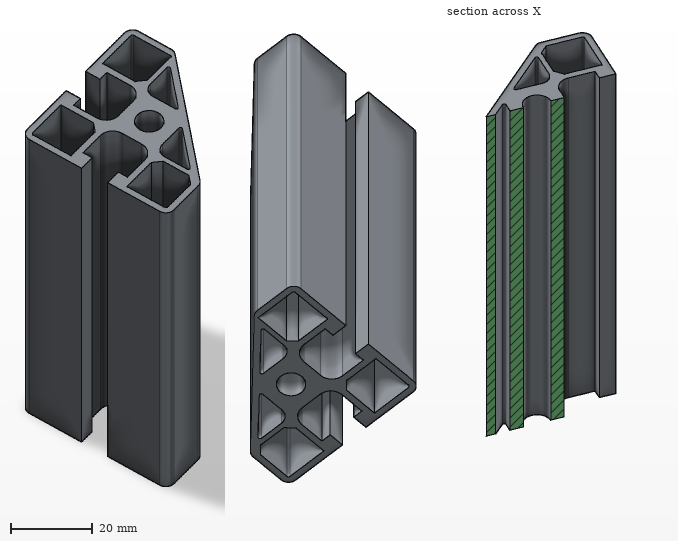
import cadquery as cq

side = 45.0
length = 100.0
corner_radius = 2.5
diagonal_end = 13.5
centre = side / 2

bore_diameter = 7.2

slot_opening = 8.0
slot_width = 13.6
slot_depth = 15.3
lip_thickness = 4.4
slot_corner_radius = 3.8

wall = 1.8
cavity_size = 12.1
cavity_chamfer = 2.1
cavity_corner_radius = 0.5

core_half_width = 7.2
diagonal_wall = 1.8
triangle_corner_radius = 3.0
triangle_tip_radius = 0.5


def prism(points):
    """Extrude a closed outline over the full length of the profile."""
    return cq.Workplane("XY").polyline(points).close().extrude(length)


def outer_body():
    points = [(0, 0), (side, 0), (side, diagonal_end), (diagonal_end, side), (0, side)]
    return prism(points).edges("|Z").fillet(corner_radius)


def box_between(x_min, x_max, y_min, y_max):
    return prism([(x_min, y_min), (x_max, y_min), (x_max, y_max), (x_min, y_max)])


def bottom_slot():
    """T-slot open to the -Y side, with its two inner corners rounded."""
    half_width = slot_width / 2
    half_opening = slot_opening / 2
    chamber = box_between(centre - half_width, centre + half_width, lip_thickness, slot_depth)
    chamber = chamber.faces(">Y").edges("|Z").fillet(slot_corner_radius)
    mouth = box_between(centre - half_opening, centre + half_opening, 0, lip_thickness)
    return chamber.union(mouth)


def left_slot():
    """The same T-slot turned a quarter turn about Z, open to the -X side."""
    return bottom_slot().rotate((0, 0, 0), (0, 0, 1), -90).translate((0, side, 0))


def edge_near(x, y):
    """Selector for the lengthwise edge nearest to a place in the cross-section."""
    return cq.selectors.NearestToPointSelector((x, y, length / 2))


def corner_cavity(x_min, y_min, chamfered, rounded):
    """Square cavity; corners are given as (0 or 1, 0 or 1) steps along X and Y."""

    def corner_edge(corner):
        return edge_near(x_min + corner[0] * cavity_size, y_min + corner[1] * cavity_size)

    cavity = box_between(x_min, x_min + cavity_size, y_min, y_min + cavity_size)
    for corner in chamfered:
        cavity = cavity.edges("|Z").edges(corner_edge(corner)).chamfer(cavity_chamfer)
    return cavity.edges("|Z").edges(corner_edge(rounded)).fillet(cavity_corner_radius)


def triangle_cavity(x_min, y_min):
    """Triangular cavity whose long side runs parallel to the diagonal face."""
    outer_sum = side + diagonal_end
    leg = outer_sum - diagonal_wall * 2**0.5 - x_min - y_min
    cavity = prism([(x_min, y_min), (x_min + leg, y_min), (x_min, y_min + leg)])
    cavity = cavity.edges("|Z").edges(edge_near(x_min, y_min)).fillet(triangle_corner_radius)
    for tip in [(x_min + leg, y_min), (x_min, y_min + leg)]:
        cavity = cavity.edges("|Z").edges(edge_near(*tip)).fillet(triangle_tip_radius)
    return cavity


result = outer_body().cut(bottom_slot()).cut(left_slot())

bore = cq.Workplane("XY").center(centre, centre).circle(bore_diameter / 2).extrude(length)
result = result.cut(bore)

far_start = side - wall - cavity_size
lower_left = (0, 0)
lower_right = (1, 0)
upper_left = (0, 1)
upper_right = (1, 1)
result = result.cut(corner_cavity(wall, wall, [upper_right], lower_left))
result = result.cut(corner_cavity(wall, far_start, [lower_right], upper_left))
result = result.cut(corner_cavity(far_start, wall, [upper_left, upper_right], lower_right))

core_start = centre - core_half_width
core_end = centre + core_half_width
result = result.cut(triangle_cavity(core_start, core_end))
result = result.cut(triangle_cavity(core_end, core_start))